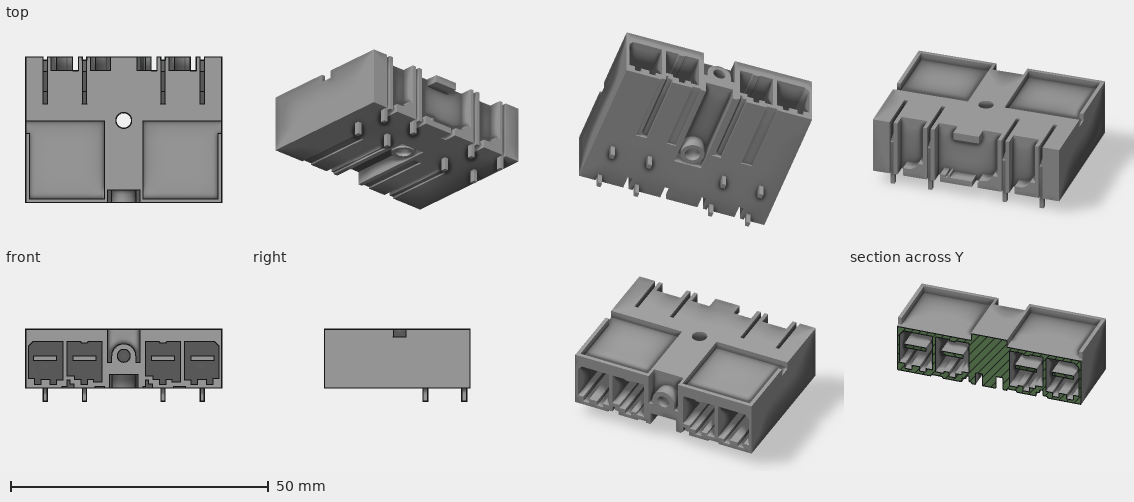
import cadquery as cq
import math

LENGTH = 38.1
DEPTH = 28.3
HEIGHT = 11.45
PIN_LENGTH = 2.55
PITCH = 7.62
OVERCUT = 1.0

POLE_XS = [pole * PITCH for pole in (-2, -1, 1, 2)]
INNER_XS = [-PITCH, PITCH]

TOP_RECESS_DEPTH = 1.55
TOP_RECESS_REAR = 15.85
TOP_RECESS_INNER = 3.73
RIM = 0.75
RIM_REAR = 13.4

SOCKET_TOP = 9.05
SOCKET_DEPTH = 15.0
SOCKET_FLOOR = 1.7
GROOVE_FLOOR = 0.72
GROOVE_WIDTH = 1.27
OUTER_SOCKET_WALL_X = 18.45
OUTER_SOCKET_INNER_X = 11.79
OUTER_CHAMFER = 0.85
OUTER_LEDGE_X = 17.32
OUTER_LEDGE_Z = 1.84
OUTER_GROOVE_X = 13.08
OUTER_STEP_Z = 1.55

INNER_LEFT = -3.4
INNER_RIGHT = 3.4
INNER_LEDGE_X = -1.9
INNER_LEDGE_Z = 2.4
INNER_GROOVE_X = -0.65
INNER_STEP_X = 1.75
INNER_STEP_Z = 1.24
RIDGE_X = -0.02
RIDGE_TOP_WIDTH = 1.5
RIDGE_WIDTH = 1.1
RIDGE_DROP = 0.28

POCKET_WIDTH = 6.36
POCKET_DEPTH = 2.5
POCKET_FLOOR = 4.95
BOSS_RADIUS = 2.33
BOSS_AXIS_Z = 6.28
BOSS_HOLE_RADIUS = 1.25
BOSS_HOLE_DEPTH = 5.0

MOUNT_Y = 15.95
MOUNT_RADIUS = 1.5
COLLAR_RADIUS = BOSS_RADIUS
UNDER_WIDTH = 5.54
UNDER_HEIGHT = 2.66

KEY_LEFT = -3.4
KEY_STEP = -2.85
KEY_RIGHT = -2.05
KEY_TALL = 1.55
KEY_LOW = 0.85
SHALLOW_OUTER = (PITCH - KEY_RIGHT, 11.95)
SHALLOW_INNER = (3.75, PITCH + KEY_RIGHT)
SHALLOW_HEIGHT = 0.35
GROOVE_DEPTH = SOCKET_DEPTH

NOTCH_DEPTH = 2.7
NOTCH_LEFT = 1.15
NOTCH_RIGHT = 6.43
LEDGE_RIGHT = 5.3
BRIDGE_HALF_WIDTH = 2.6
BRIDGE_THICKNESS = 1.5
CHANNEL_FLOOR = 1.2
CHANNEL_RIGHT = 3.31
SIDE_SLOT_LEFT = 3.76
SIDE_SLOT_RIGHT = 4.2
LOW_LEDGE_Z = 1.7
ARC_LEFT = 2.18
ARC_WIDTH = 2.08
ARC_RADIUS = 2.2

CONTACT_THICKNESS = 0.8
CONTACT_REAR = DEPTH - 0.65
SLOT_FRONT = DEPTH - 9.2
CONTACT_TOP = 8.0
CONTACT_SLOPE_LENGTH = 2.2
CONTACT_SLOPE_DROP = 1.27
CONTACT_STEP_Y = DEPTH - 6.75
PIN_WIDTH = 1.0
BLADE_WIDTH = 4.45
BLADE_BOTTOM = 5.35
BLADE_THICKNESS = 0.87
BLADE_TIP_Y = 5.0


def block(x0, x1, y0, y1, z0, z1):
    return cq.Workplane("XY").box(x1 - x0, y1 - y0, z1 - z0, centered=False).translate((x0, y0, z0))


def extrude_back(profile, y0, y1):
    """Extrude a closed XZ profile from y0 toward the rear at y1."""
    return profile.extrude(-(y1 - y0)).translate((0, y0, 0))


def top_recess():
    """Right-hand recess with its side opening."""
    half = LENGTH / 2
    floor = HEIGHT - TOP_RECESS_DEPTH
    top = HEIGHT + OVERCUT
    main = block(TOP_RECESS_INNER, half - RIM, RIM, TOP_RECESS_REAR, floor, top)
    opening = block(half - RIM, half + OVERCUT, RIM_REAR, TOP_RECESS_REAR, floor, top)
    return main.union(opening)


def outer_socket():
    """Right-hand outer socket."""
    first_groove_x = OUTER_LEDGE_X - GROOVE_WIDTH
    profile = cq.Workplane("XZ").polyline([
        (OUTER_SOCKET_INNER_X, SOCKET_TOP),
        (OUTER_SOCKET_WALL_X - OUTER_CHAMFER, SOCKET_TOP),
        (OUTER_SOCKET_WALL_X, SOCKET_TOP - OUTER_CHAMFER),
        (OUTER_SOCKET_WALL_X, OUTER_LEDGE_Z),
        (OUTER_LEDGE_X, OUTER_LEDGE_Z),
        (OUTER_LEDGE_X, GROOVE_FLOOR),
        (first_groove_x, GROOVE_FLOOR),
        (first_groove_x, SOCKET_FLOOR),
        (OUTER_GROOVE_X + GROOVE_WIDTH, SOCKET_FLOOR),
        (OUTER_GROOVE_X + GROOVE_WIDTH, GROOVE_FLOOR),
        (OUTER_GROOVE_X, GROOVE_FLOOR),
        (OUTER_GROOVE_X, OUTER_STEP_Z),
        (OUTER_SOCKET_INNER_X, OUTER_STEP_Z),
    ]).close()
    return extrude_back(profile, -OVERCUT, SOCKET_DEPTH)


def inner_socket(x):
    groove_right = INNER_GROOVE_X + GROOVE_WIDTH
    ridge_z = SOCKET_TOP - RIDGE_DROP
    profile = cq.Workplane("XZ").polyline([
        (INNER_LEFT, SOCKET_TOP),
        (RIDGE_X - RIDGE_TOP_WIDTH / 2, SOCKET_TOP),
        (RIDGE_X - RIDGE_WIDTH / 2, ridge_z),
        (RIDGE_X + RIDGE_WIDTH / 2, ridge_z),
        (RIDGE_X + RIDGE_TOP_WIDTH / 2, SOCKET_TOP),
        (INNER_RIGHT, SOCKET_TOP),
        (INNER_RIGHT, INNER_STEP_Z),
        (INNER_STEP_X, INNER_STEP_Z),
        (INNER_STEP_X, SOCKET_FLOOR),
        (groove_right, SOCKET_FLOOR),
        (groove_right, GROOVE_FLOOR),
        (INNER_GROOVE_X, GROOVE_FLOOR),
        (INNER_GROOVE_X, SOCKET_FLOOR),
        (INNER_LEDGE_X, SOCKET_FLOOR),
        (INNER_LEDGE_X, INNER_LEDGE_Z),
        (INNER_LEFT, INNER_LEDGE_Z),
    ]).close()
    return extrude_back(profile, -OVERCUT, SOCKET_DEPTH).translate((x, 0, 0))


def boss_pocket():
    """Pocket that leaves the round-topped boss standing."""
    half = POCKET_WIDTH / 2
    pocket = block(-half, half, -OVERCUT, POCKET_DEPTH, POCKET_FLOOR, HEIGHT + OVERCUT)
    dome = extrude_back(
        cq.Workplane("XZ").center(0, BOSS_AXIS_Z).circle(BOSS_RADIUS), -OVERCUT, POCKET_DEPTH)
    stem = block(-BOSS_RADIUS, BOSS_RADIUS, -OVERCUT, POCKET_DEPTH, POCKET_FLOOR, BOSS_AXIS_Z)
    return pocket.cut(dome).cut(stem)


def boss_hole():
    circle = cq.Workplane("XZ").center(0, BOSS_AXIS_Z).circle(BOSS_HOLE_RADIUS)
    return extrude_back(circle, -OVERCUT, BOSS_HOLE_DEPTH)


def vertical_cylinder(radius, z0, z1):
    return cq.Workplane("XY", origin=(0, MOUNT_Y, z0)).circle(radius).extrude(z1 - z0)


def under_recess():
    """Underside recess, open at the front, around the collar of the mounting hole."""
    half = UNDER_WIDTH / 2
    recess = block(-half, half, -OVERCUT, MOUNT_Y + half, -OVERCUT, UNDER_HEIGHT)
    return recess.cut(vertical_cylinder(COLLAR_RADIUS, -OVERCUT, UNDER_HEIGHT))


def underside_groove(x0, x1, height):
    return block(x0, x1, -OVERCUT, GROOVE_DEPTH, -OVERCUT, height)


def key_slot(x):
    """Stepped slot in the underside, beside an inner socket."""
    tall = underside_groove(x + KEY_LEFT, x + KEY_STEP, KEY_TALL)
    low = underside_groove(x + KEY_STEP, x + KEY_RIGHT, KEY_LOW)
    return tall.union(low)


def rear_notch(x):
    """Rear notch: high ledge, concave drop, low ledge and an open gap at its right."""
    arc_right = ARC_LEFT + ARC_WIDTH
    arc_rise = ARC_RADIUS - math.sqrt(ARC_RADIUS ** 2 - ARC_WIDTH ** 2)
    half_angle = math.asin(ARC_WIDTH / ARC_RADIUS) / 2
    arc_middle = (arc_right - ARC_RADIUS * math.sin(half_angle),
                  LOW_LEDGE_Z + ARC_RADIUS * (1 - math.cos(half_angle)))
    high_ledge_z = LOW_LEDGE_Z + arc_rise
    top = HEIGHT + OVERCUT
    profile = (
        cq.Workplane("XZ")
        .moveTo(NOTCH_LEFT, top)
        .lineTo(NOTCH_LEFT, high_ledge_z)
        .lineTo(ARC_LEFT, high_ledge_z)
        .threePointArc(arc_middle, (arc_right, LOW_LEDGE_Z))
        .lineTo(LEDGE_RIGHT, LOW_LEDGE_Z)
        .lineTo(LEDGE_RIGHT, -OVERCUT)
        .lineTo(NOTCH_RIGHT, -OVERCUT)
        .lineTo(NOTCH_RIGHT, top)
        .close()
    )
    return extrude_back(profile, DEPTH - NOTCH_DEPTH, DEPTH + OVERCUT).translate((x, 0, 0))


def rear_block(x0, x1, z0, z1):
    return block(x0, x1, DEPTH - NOTCH_DEPTH, DEPTH + OVERCUT, z0, z1)


def rear_notches():
    """Four notches, with a channel and a slot between the middle two, under a bridge."""
    top = HEIGHT + OVERCUT
    cutter = rear_block(-BRIDGE_HALF_WIDTH, CHANNEL_RIGHT, CHANNEL_FLOOR, top)
    cutter = cutter.union(rear_block(SIDE_SLOT_LEFT, SIDE_SLOT_RIGHT, CHANNEL_FLOOR, top))
    for pole in (-2, -1, 0, 1):
        cutter = cutter.union(rear_notch(pole * PITCH))
    bridge = rear_block(-BRIDGE_HALF_WIDTH, BRIDGE_HALF_WIDTH, HEIGHT - BRIDGE_THICKNESS, top)
    return cutter.cut(bridge)


def contact_slot(x):
    half = CONTACT_THICKNESS / 2
    return block(x - half, x + half, SLOT_FRONT, DEPTH + OVERCUT, -OVERCUT, HEIGHT + OVERCUT)


def contact(x):
    """Upright plate with two solder pins and a flat blade reaching into the socket."""
    front_pin_rear = SLOT_FRONT + PIN_WIDTH
    rear_pin_front = CONTACT_REAR - PIN_WIDTH
    blade_top = BLADE_BOTTOM + BLADE_THICKNESS
    half = CONTACT_THICKNESS / 2
    plate = (
        cq.Workplane("YZ", origin=(x - half, 0, 0))
        .polyline([
            (SLOT_FRONT, -PIN_LENGTH),
            (front_pin_rear, -PIN_LENGTH),
            (front_pin_rear, 0),
            (rear_pin_front, 0),
            (rear_pin_front, -PIN_LENGTH),
            (CONTACT_REAR, -PIN_LENGTH),
            (CONTACT_REAR, CONTACT_TOP - CONTACT_SLOPE_DROP),
            (CONTACT_REAR - CONTACT_SLOPE_LENGTH, CONTACT_TOP),
            (CONTACT_STEP_Y, CONTACT_TOP),
            (CONTACT_STEP_Y, blade_top),
            (SLOT_FRONT, blade_top),
        ])
        .close()
        .extrude(CONTACT_THICKNESS)
    )
    return plate.union(blade(x))


def blade(x):
    half = BLADE_WIDTH / 2
    return block(x - half, x + half, BLADE_TIP_Y, SLOT_FRONT,
                 BLADE_BOTTOM, BLADE_BOTTOM + BLADE_THICKNESS)


def make_housing():
    body = block(-LENGTH / 2, LENGTH / 2, 0, DEPTH, 0, HEIGHT)
    for cutter in (top_recess(), outer_socket()):
        body = body.cut(cutter).cut(cutter.mirror("YZ"))
    for x in INNER_XS:
        body = body.cut(inner_socket(x)).cut(key_slot(x))
    body = body.cut(boss_pocket()).cut(boss_hole())
    body = body.cut(under_recess()).cut(vertical_cylinder(MOUNT_RADIUS, -OVERCUT, HEIGHT + OVERCUT))
    for near, far in (SHALLOW_OUTER, SHALLOW_INNER):
        groove = underside_groove(near, far, SHALLOW_HEIGHT)
        body = body.cut(groove).cut(groove.mirror("YZ"))
    body = body.cut(rear_notches())
    for x in POLE_XS:
        body = body.cut(contact_slot(x)).cut(blade(x))
    return body


housing = make_housing()
contacts = [contact(x) for x in POLE_XS]

result = cq.Compound.makeCompound([
    housing.solids().val(),
    *[body.solids().val() for body in contacts],
])